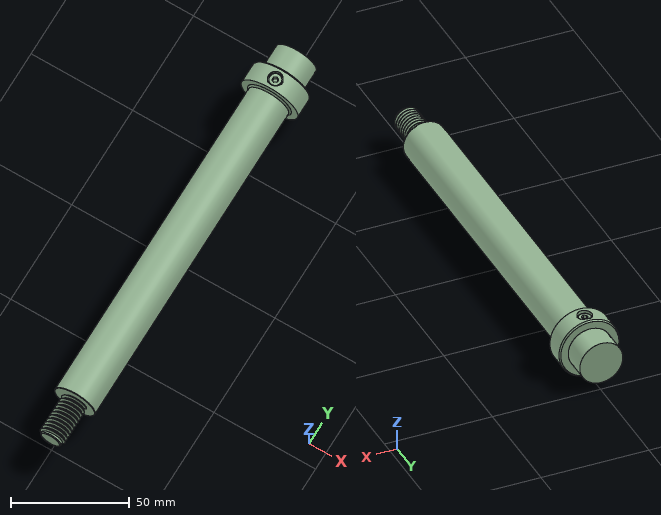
import cadquery as cq
import math

LENGTH = 202.0
REAR_Y = LENGTH / 2
TIP_Y = -LENGTH / 2

ROD_D = 20.0
STUB_LENGTH = 12.0
COLLAR_D = 28.0
COLLAR_WIDTH = 10.0
COLLAR_CHAMFER = 0.6
LIP = 0.8
STUD_LENGTH = 20.0
TIP_CHAMFER = 0.5
ROD_CHAMFER = 0.2
COLLAR_REAR_Y = REAR_Y - STUB_LENGTH
COLLAR_FRONT_Y = COLLAR_REAR_Y - COLLAR_WIDTH
SHOULDER_Y = TIP_Y + STUD_LENGTH

THREAD_D = 12.0
THREAD_DEPTH = 1.0
THREAD_PITCH = 1.75
CREST_WIDTH = THREAD_PITCH / 8
RIDGE_BASE_WIDTH = THREAD_PITCH * 0.8
BARE_TIP = 0.8
CORE_D = THREAD_D - 2 * THREAD_DEPTH

SCREW_SETBACK = 4.8
SCREW_D = 6.7
SCREW_LENGTH = 6.0
SCREW_CHAMFER = 0.6
SCREW_TOP_Z = 13.0
SOCKET_ACROSS_FLATS = 2.5
SOCKET_DEPTH = 2.5
SCREW_Y = COLLAR_FRONT_Y + SCREW_SETBACK
SCREW_BOTTOM_Z = SCREW_TOP_Z - SCREW_LENGTH


def spindle_blank():
    """Turned profile of stub, collar, rod and stud core, revolved about Y."""
    rod_r = ROD_D / 2
    collar_r = COLLAR_D / 2
    core_r = CORE_D / 2
    profile = [
        (0, REAR_Y),
        (rod_r, REAR_Y),
        (rod_r, COLLAR_REAR_Y),
        (collar_r - COLLAR_CHAMFER, COLLAR_REAR_Y),
        (collar_r, COLLAR_REAR_Y - COLLAR_CHAMFER),
        (collar_r, COLLAR_FRONT_Y),
        (rod_r + LIP, COLLAR_FRONT_Y),
        (rod_r, COLLAR_FRONT_Y - LIP),
        (rod_r, SHOULDER_Y + ROD_CHAMFER),
        (rod_r - ROD_CHAMFER, SHOULDER_Y),
        (core_r, SHOULDER_Y),
        (core_r, TIP_Y + TIP_CHAMFER),
        (core_r - TIP_CHAMFER, TIP_Y),
        (0, TIP_Y),
    ]
    return cq.Workplane("XY").polyline(profile).close().revolve(360, (0, 0, 0), (0, 1, 0))


def thread_ridge():
    """Helical ridge of trapezoidal section, its foot sunk into the core and its start into the rod."""
    sink = 0.2
    core_r = CORE_D / 2
    flank_slope = (RIDGE_BASE_WIDTH - CREST_WIDTH) / 2 / THREAD_DEPTH
    half_foot = RIDGE_BASE_WIDTH / 2 + sink * flank_slope
    half_crest = CREST_WIDTH / 2
    turns_length = STUD_LENGTH - BARE_TIP - RIDGE_BASE_WIDTH / 2
    helix = cq.Wire.makeHelix(THREAD_PITCH, turns_length, core_r)
    ridge = (
        cq.Workplane("XZ")
        .moveTo(core_r - sink, -half_foot)
        .lineTo(core_r + THREAD_DEPTH, -half_crest)
        .lineTo(core_r + THREAD_DEPTH, half_crest)
        .lineTo(core_r - sink, half_foot)
        .close()
        .sweep(cq.Workplane(obj=helix), isFrenet=True)
    )
    return ridge.rotate((0, 0, 0), (1, 0, 0), 90).translate((0, SHOULDER_Y, 0))


def screw_plane(z):
    """Horizontal workplane centred on the screw axis."""
    return cq.Workplane("XY", origin=(0, SCREW_Y, z))


def make_spindle():
    screw_hole = screw_plane(SCREW_BOTTOM_Z).circle(SCREW_D / 2).extrude(COLLAR_D / 2)
    return spindle_blank().union(thread_ridge()).cut(screw_hole)


def make_set_screw():
    """Headless screw with a chamfered top and a hexagon socket."""
    body = screw_plane(SCREW_BOTTOM_Z).circle(SCREW_D / 2).extrude(SCREW_LENGTH)
    body = body.faces(">Z").chamfer(SCREW_CHAMFER)
    across_corners = SOCKET_ACROSS_FLATS / math.cos(math.pi / 6)
    socket = (
        screw_plane(SCREW_TOP_Z)
        .transformed(rotate=(0, 0, 30))
        .polygon(6, across_corners)
        .extrude(-SOCKET_DEPTH)
    )
    return body.cut(socket)


spindle = make_spindle()
set_screw = make_set_screw()

result = cq.Compound.makeCompound([*spindle.solids().vals(), *set_screw.solids().vals()])